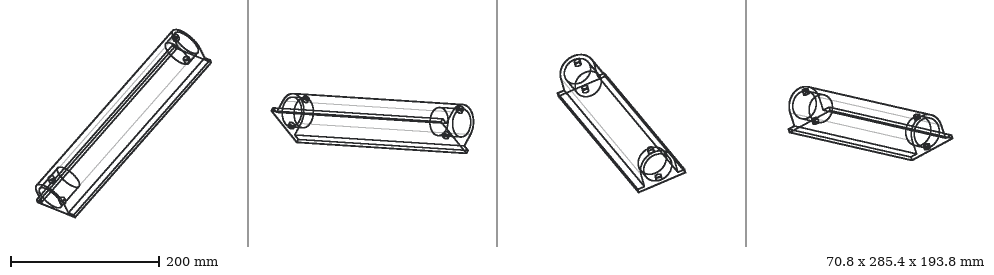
import cadquery as cq

length = 300.0
tube_diameter = 50.0
flange_span = 70.0
flange_thickness = 5.0
lower_bore_diameter = 38.0
lower_bore_depth = 40.0
upper_bore_diameter = 40.5
upper_bore_depth = 20.8
pin_hole_diameter = 8.0
lower_pin_distance = 14.8
upper_pin_distance = 11.7

roll = 1.7
pitch = 29.9
yaw = -0.15

tube_radius = tube_diameter / 2


def profile_block():
    """Flanged base, straight flanks and round top; the tube axis lies on Y."""
    base_z = -tube_radius
    flange_z = base_z + flange_thickness
    half_span = flange_span / 2
    return (
        cq.Workplane("XZ")
        .moveTo(-half_span, base_z)
        .lineTo(half_span, base_z)
        .lineTo(half_span, flange_z)
        .lineTo(tube_radius, flange_z)
        .lineTo(tube_radius, 0)
        .threePointArc((0, tube_radius), (-tube_radius, 0))
        .lineTo(-tube_radius, flange_z)
        .lineTo(-half_span, flange_z)
        .close()
        .extrude(-length)
    )


def bore(diameter, depth, start):
    """Round socket running along +Y from the given start."""
    return cq.Workplane("XZ", origin=(0, start, 0)).circle(diameter / 2).extrude(-depth)


def pin_hole(position):
    """Cross hole through both walls of a socket."""
    return (
        cq.Workplane("XY", origin=(0, position, 0))
        .circle(pin_hole_diameter / 2)
        .extrude(tube_diameter, both=True)
    )


body = profile_block()
body = body.cut(bore(lower_bore_diameter, lower_bore_depth, 0))
body = body.cut(bore(upper_bore_diameter, upper_bore_depth, length - upper_bore_depth))

for position in (lower_pin_distance, length - upper_pin_distance):
    body = body.cut(pin_hole(position))

result = (
    body.rotate((0, 0, 0), (0, 1, 0), roll)
    .rotate((0, 0, 0), (1, 0, 0), pitch)
    .rotate((0, 0, 0), (0, 0, 1), yaw)
)